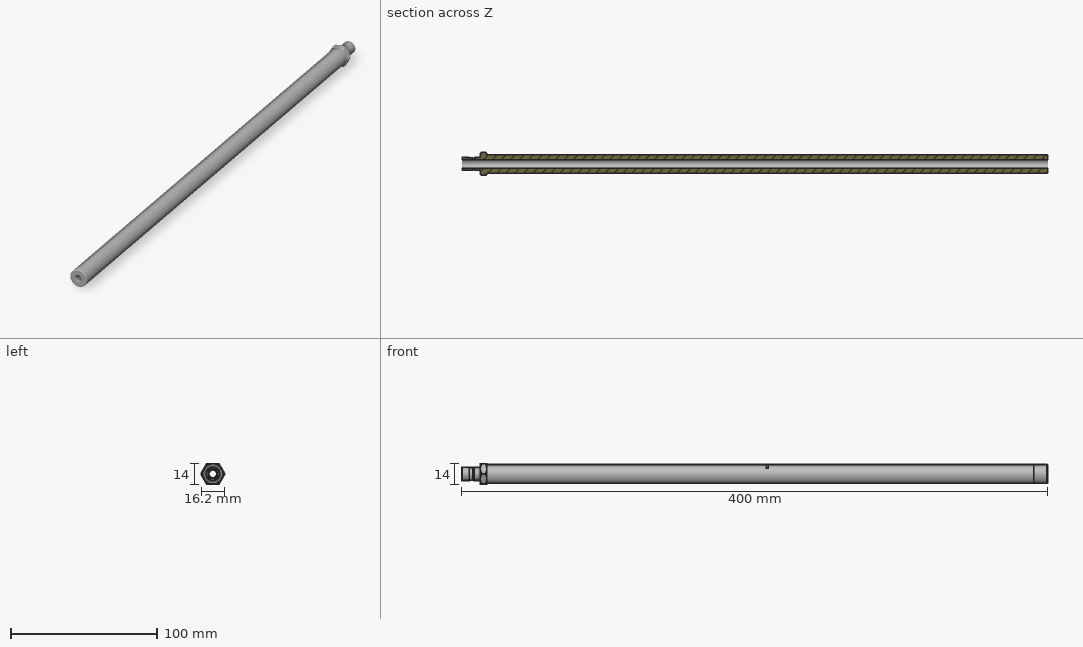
import cadquery as cq
import math

length = 400.0

connector_diameter = 9.2
connector_length = 12.5
tip_length = 5.0
land_diameter = 8.9
land_length = 2.4
groove_diameter = 8.4
groove_width = 1.2

bore_diameter = 5.5
bore_chamfer = 0.3

hex_sides = 6
hex_across_flats = 14.0
hex_length = 4.6
hex_bevel_angle = 47.0

tube_diameter = 13.0

cap_diameter = tube_diameter - 0.04
cap_length = 9.5
cap_chamfer = 0.6

slit_from_start = 208.4
slit_width = 1.2
slit_depth = 0.55
slit_tilt = 30.0

x_start = -length / 2
x_end = length / 2
x_land = x_start + tip_length
x_groove = x_land + land_length
x_shoulder = x_groove + groove_width
x_collar = x_start + connector_length
x_tube = x_collar + hex_length
x_cap = x_end - cap_length


def rod(x_from, x_to, diameter):
    """Cylinder on the X axis between two stations."""
    return cq.Workplane("YZ").workplane(offset=x_from).circle(diameter / 2).extrude(x_to - x_from)


def make_connector():
    """Turned tip and shoulder, separated by a slightly thinner land and a narrow groove."""
    connector = rod(x_start, x_land, connector_diameter)
    connector = connector.union(rod(x_land, x_groove, land_diameter))
    connector = connector.union(rod(x_groove, x_shoulder, groove_diameter))
    return connector.union(rod(x_shoulder, x_collar, connector_diameter))


def make_collar():
    """Hexagon with corners on +Y and -Y, bevelled on both faces down to its inscribed circle."""
    face_radius = hex_across_flats / 2
    corner_radius = face_radius / math.cos(math.pi / hex_sides)
    bevel_length = (corner_radius - face_radius) * math.tan(math.radians(hex_bevel_angle))
    envelope = (
        cq.Workplane("XY")
        .moveTo(x_collar, 0)
        .lineTo(x_collar, face_radius)
        .lineTo(x_collar + bevel_length, corner_radius)
        .lineTo(x_tube - bevel_length, corner_radius)
        .lineTo(x_tube, face_radius)
        .lineTo(x_tube, 0)
        .close()
        .revolve(360, (0, 0, 0), (1, 0, 0))
    )
    hexagon = cq.Workplane("YZ").workplane(offset=x_collar).polygon(hex_sides, 2 * corner_radius)
    return hexagon.extrude(hex_length).intersect(envelope)


def make_cap():
    """Plain end cap with a chamfered end."""
    return rod(x_cap, x_end, cap_diameter).faces(">X").chamfer(cap_chamfer)


def make_slit():
    """Cutter for a straight saw cut that leaves a flat floor in the tube wall."""
    cutter = cq.Workplane("XY").box(slit_width, tube_diameter, slit_depth, centered=(True, True, False))
    cutter = cutter.translate((x_start + slit_from_start, 0, tube_diameter / 2 - slit_depth))
    return cutter.rotate((0, 0, 0), (1, 0, 0), slit_tilt)


def make_bore():
    """Cutter for the through bore and the chamfer at its -X mouth."""
    bore_radius = bore_diameter / 2
    mouth_radius = bore_radius + bore_chamfer
    return (
        cq.Workplane("XY")
        .moveTo(x_start, 0)
        .lineTo(x_start, mouth_radius)
        .lineTo(x_start + bore_chamfer, bore_radius)
        .lineTo(x_end, bore_radius)
        .lineTo(x_end, 0)
        .close()
        .revolve(360, (0, 0, 0), (1, 0, 0))
    )


tube = rod(x_tube, x_cap, tube_diameter)
lance = make_connector().union(make_collar()).union(tube).union(make_cap())
result = lance.cut(make_slit()).cut(make_bore())